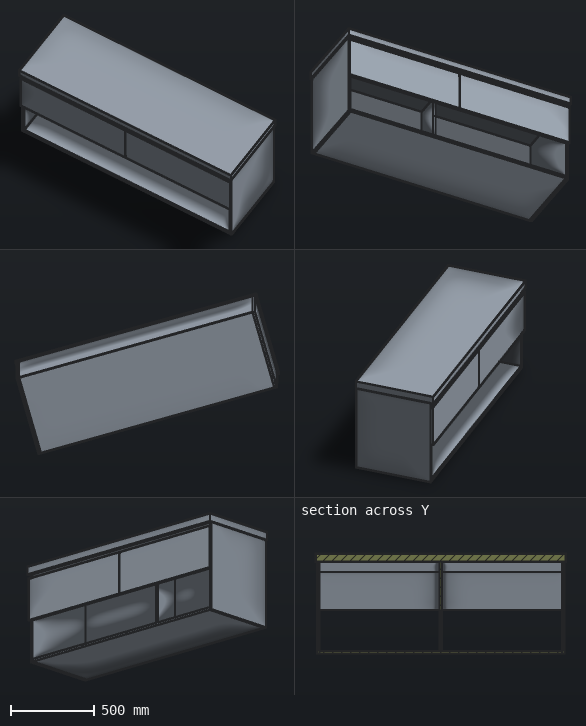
import cadquery as cq

top_width = 1500.0
top_depth = 500.0
total_height = 600.0
top_thickness = 50.0

cabinet_width = 1485.0
cabinet_depth = 478.0
cabinet_height = total_height - top_thickness
board = 15.0
bottom_thickness = 16.0
inner_width = cabinet_width - 2 * board

front_thickness = 18.0
front_height = 262.0
front_gap = 5.0
finger_gap = 27.0
grip_bevel = 15.0
front_width = (cabinet_width - front_gap) / 2
front_top = cabinet_height - finger_gap
front_bottom = front_top - front_height

rail_height = 60.0
post_depth = 150.0


def block(width, depth, height, x, rear_y, bottom_z):
    """Box centred at x, reaching forward (-Y) from rear_y and up from bottom_z."""
    return (
        cq.Workplane("XY")
        .box(width, depth, height, centered=(True, False, False))
        .translate((x, rear_y - depth, bottom_z))
    )


def make_top():
    """Slab with a downstand rail flush with the cabinet's front edge."""
    slab = block(top_width, top_depth, top_thickness, 0, 0, cabinet_height)
    rail_rear = board - cabinet_depth
    rail = block(inner_width, board, rail_height, 0, rail_rear, cabinet_height - rail_height)
    return slab.union(rail)


def make_side(direction):
    x = direction * (cabinet_width - board) / 2
    return block(board, cabinet_depth, cabinet_height, x, 0, 0)


def make_bottom():
    return block(inner_width, cabinet_depth, bottom_thickness, 0, 0, 0)


def make_back():
    """Back panel with a central upright post on its inner face."""
    height = cabinet_height - bottom_thickness
    panel = block(inner_width, board, height, 0, 0, bottom_thickness)
    post = block(board, post_depth, height, 0, -board, bottom_thickness)
    return panel.union(post)


def make_drawer_front(direction):
    """Front panel with its upper rear edge bevelled as a finger grip."""
    x = direction * (front_width + front_gap) / 2
    front = block(front_width, front_thickness, front_height, x, -cabinet_depth, front_bottom)
    return front.edges(">Y and >Z").chamfer(grip_bevel)


top = make_top()
bottom = make_bottom()
back = make_back()
sides = [make_side(direction) for direction in (-1, 1)]
drawer_fronts = [make_drawer_front(direction) for direction in (-1, 1)]

bodies = [top, bottom, back, *sides, *drawer_fronts]
result = cq.Compound.makeCompound([body.val() for body in bodies])